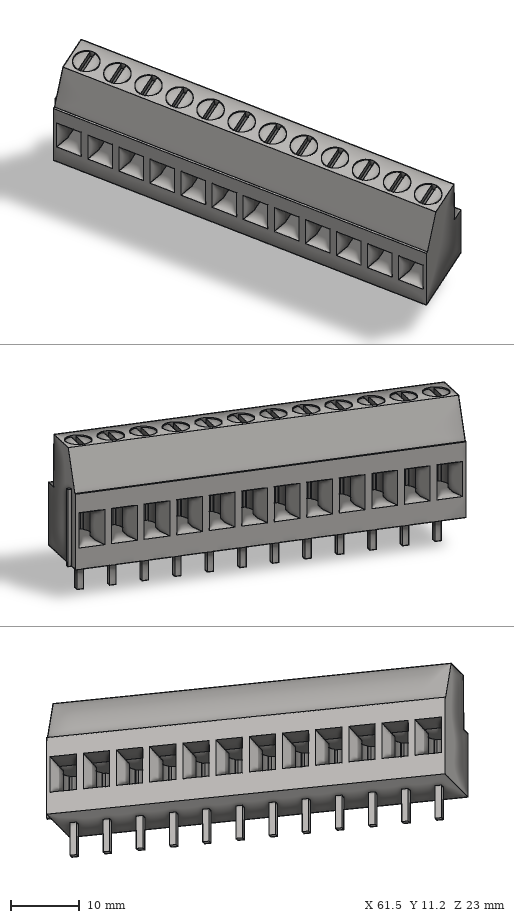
import cadquery as cq

POLES = 12
PITCH = 5.08
LENGTH = POLES * PITCH

DEPTH = 11.2
HEIGHT = 18.0
LEDGE_WIDTH = 0.33
LEDGE_HEIGHT = 11.8
SLOPE_TOP_Y = 3.05
BACK_TOP_Y = 8.95
BACK_FOOT_Y = 9.15
STEP_HEIGHT = 9.75

RIB_PROJECTION = 0.57
RIB_WIDTH = 0.6
RIB_FRONT_Y = 1.65
RIB_HEIGHT = 12.0

ENTRY_WIDTH = 4.0
ENTRY_FLOOR = 3.35
ENTRY_HEIGHT = 5.45
FUNNEL_DEPTH = 2.3
CHAMBER_WIDTH = 2.7
CHAMBER_HEIGHT = 4.6
CHAMBER_BACK_Y = 7.25
BORE_DIAMETER = 3.8

SCREW_Y = 5.6
SCREW_DIAMETER = 4.0
SCREW_RECESS = 0.2
SLOT_WIDTH = 0.75
SLOT_DEPTH = 1.0

PIN_SIZE = 1.0
PIN_LENGTH = 5.0
PIN_Y = 5.25


def box(width, depth, height, x_center, y_front, z_bottom):
    """Box centred on x_center, starting at y_front and z_bottom."""
    block = cq.Workplane("XY").box(width, depth, height, centered=(True, False, False))
    return block.translate((x_center, y_front, z_bottom))


def cylinder(diameter, height, x_center, z_bottom):
    """Vertical cylinder on the screw axis of one pole."""
    circle = cq.Workplane("XY", origin=(x_center, SCREW_Y, z_bottom)).circle(diameter / 2)
    return circle.extrude(height)


def make_housing():
    profile = [
        (0, 0),
        (DEPTH, 0),
        (DEPTH, STEP_HEIGHT),
        (BACK_FOOT_Y, STEP_HEIGHT),
        (BACK_TOP_Y, HEIGHT),
        (SLOPE_TOP_Y, HEIGHT),
        (LEDGE_WIDTH, LEDGE_HEIGHT),
        (0, LEDGE_HEIGHT),
    ]
    section = cq.Workplane("YZ", origin=(-LENGTH / 2, 0, 0)).polyline(profile).close()
    return section.extrude(LENGTH)


def make_rib():
    x_center = -(LENGTH + RIB_PROJECTION) / 2
    return box(RIB_PROJECTION, RIB_WIDTH, RIB_HEIGHT, x_center, RIB_FRONT_Y, 0)


def make_wire_entry(x):
    entry_middle = ENTRY_FLOOR + ENTRY_HEIGHT / 2
    height_loss = ENTRY_HEIGHT - CHAMBER_HEIGHT
    funnel = (
        cq.Workplane("XZ", origin=(x, 0, entry_middle))
        .rect(ENTRY_WIDTH, ENTRY_HEIGHT)
        .workplane(offset=-FUNNEL_DEPTH)
        .center(0, -height_loss / 2)
        .rect(CHAMBER_WIDTH, CHAMBER_HEIGHT)
        .loft(ruled=True)
    )
    chamber_depth = CHAMBER_BACK_Y - FUNNEL_DEPTH
    chamber = box(CHAMBER_WIDTH, chamber_depth, CHAMBER_HEIGHT, x, FUNNEL_DEPTH, ENTRY_FLOOR)
    bore = cylinder(BORE_DIAMETER, CHAMBER_HEIGHT, x, ENTRY_FLOOR)
    return funnel.union(chamber).union(bore)


def make_screw_recess(x):
    head_top = HEIGHT - SCREW_RECESS
    recess = cylinder(SCREW_DIAMETER, SCREW_RECESS, x, head_top)
    slot_front_y = SCREW_Y - SCREW_DIAMETER / 2
    slot_bottom = head_top - SLOT_DEPTH
    slot_blank = box(SLOT_WIDTH, SCREW_DIAMETER, SLOT_DEPTH, x, slot_front_y, slot_bottom)
    slot = slot_blank.intersect(cylinder(SCREW_DIAMETER, SLOT_DEPTH, x, slot_bottom))
    return recess.union(slot)


def make_pin(x):
    return box(PIN_SIZE, PIN_SIZE, PIN_LENGTH, x, PIN_Y - PIN_SIZE / 2, -PIN_LENGTH)


result = make_housing().union(make_rib())
for pole in range(POLES):
    pole_x = (pole - (POLES - 1) / 2) * PITCH
    result = result.cut(make_wire_entry(pole_x))
    result = result.cut(make_screw_recess(pole_x))
    result = result.union(make_pin(pole_x))